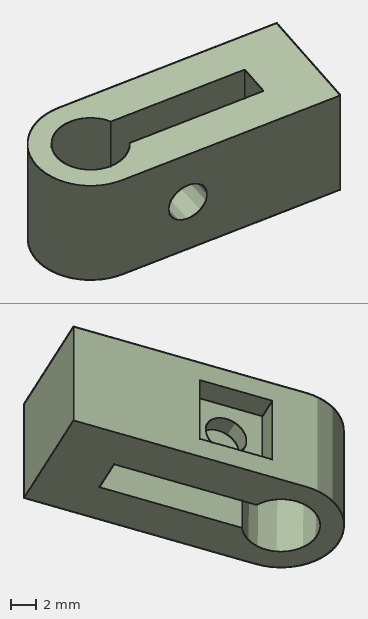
import cadquery as cq

length = 25
width = 10
height = 10
end_radius = width / 2
back_y = length - end_radius

bore_diameter = 6.2
slot_width = 2.95
back_wall = 5
slot_end_y = back_y - back_wall

screw_y = 6
screw_diameter = 3.5
nut_size = 6.25
nut_depth = 2


def make_body():
    return (
        cq.Workplane("XY")
        .moveTo(-end_radius, 0)
        .threePointArc((0, -end_radius), (end_radius, 0))
        .lineTo(end_radius, back_y)
        .lineTo(-end_radius, back_y)
        .close()
        .extrude(height)
    )


def make_keyhole():
    bore = cq.Workplane("XY").circle(bore_diameter / 2).extrude(height)
    slot = (
        cq.Workplane("XY")
        .center(0, slot_end_y / 2)
        .rect(slot_width, slot_end_y)
        .extrude(height)
    )
    return bore.union(slot)


def make_screw_cut():
    side = cq.Workplane("YZ", origin=(-width / 2, screw_y, height / 2))
    hole = side.circle(screw_diameter / 2).extrude(width)
    nut_pocket = side.rect(nut_size, nut_size).extrude(nut_depth)
    return hole.union(nut_pocket)


result = make_body().cut(make_keyhole()).cut(make_screw_cut())